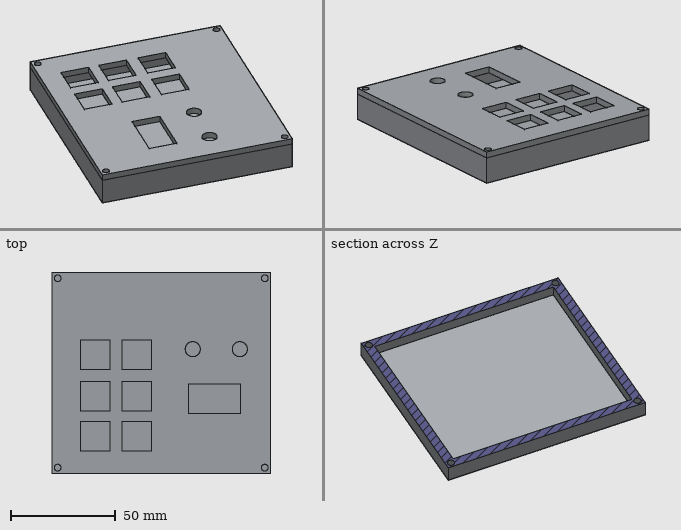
import cadquery as cq

length = 104.5
width = 96.0
height = 16.0
lid_thickness = 3.0
base_height = height - lid_thickness

wall_thickness = 5.0
floor_thickness = 3.0

screw_diameter = 3.2
screw_inset = 2.8

key_size = 14.0
key_columns = (20.7, 40.5)
key_rows = (17.8, 36.9, 56.7)

display_length = 24.9
display_width = 14.0
display_center = (77.6, 35.7)

control_diameter = 7.2
control_centers = [(67.3, 59.4), (89.8, 59.4)]

screw_centers = [
    (x, y)
    for x in (screw_inset, length - screw_inset)
    for y in (screw_inset, width - screw_inset)
]
key_centers = [(x, y) for x in key_columns for y in key_rows]


def slab(bottom, thickness, hole_bottom):
    """Full-outline plate with four screw holes from hole_bottom up to its top face."""
    plate = cq.Workplane("XY", origin=(0, 0, bottom)).rect(length, width, centered=False).extrude(thickness)
    holes = (
        cq.Workplane("XY", origin=(0, 0, hole_bottom))
        .pushPoints(screw_centers)
        .circle(screw_diameter / 2)
        .extrude(bottom + thickness - hole_bottom)
    )
    return plate.cut(holes)


def make_base():
    """Open-topped tray with blind screw holes in its corners."""
    cavity = (
        cq.Workplane("XY", origin=(length / 2, width / 2, floor_thickness))
        .rect(length - 2 * wall_thickness, width - 2 * wall_thickness)
        .extrude(base_height - floor_thickness)
    )
    return slab(0, base_height, floor_thickness).cut(cavity)


def make_lid():
    """Flat cover with key, display and control openings."""
    underside = cq.Workplane("XY", origin=(0, 0, base_height))
    keys = underside.pushPoints(key_centers).rect(key_size, key_size).extrude(lid_thickness)
    display = underside.center(*display_center).rect(display_length, display_width).extrude(lid_thickness)
    controls = underside.pushPoints(control_centers).circle(control_diameter / 2).extrude(lid_thickness)
    return slab(base_height, lid_thickness, base_height).cut(keys).cut(display).cut(controls)


base = make_base()
lid = make_lid()

result = cq.Compound.makeCompound([base.val(), lid.val()])